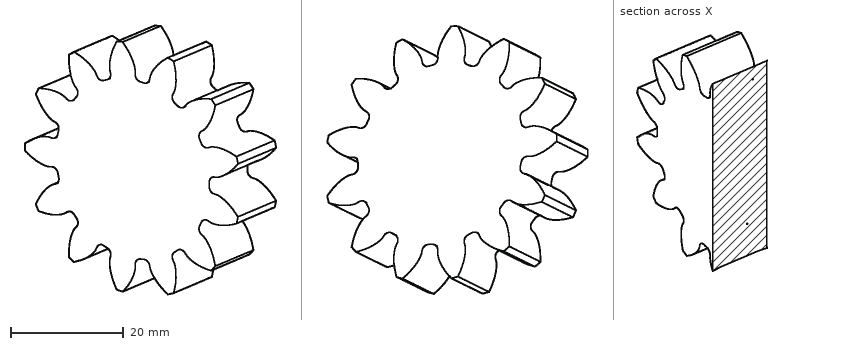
import cadquery as cq
import math

TEETH = 13
FACE_WIDTH = 12.0
TIP_RADIUS = 23.4
ROOT_RADIUS = 16.65
PITCH_RADIUS = 19.5
PRESSURE_ANGLE = math.radians(20)
PROFILE_SHIFT = 0.3
ROOT_FILLET = 1.15
FIRST_TOOTH_ANGLE = math.pi
FLANK_STEPS = 6

MODULE = 2 * PITCH_RADIUS / TEETH
BASE_RADIUS = PITCH_RADIUS * math.cos(PRESSURE_ANGLE)
TOOTH_PITCH = 2 * math.pi / TEETH
PITCH_THICKNESS = MODULE * (math.pi / 2 + 2 * PROFILE_SHIFT * math.tan(PRESSURE_ANGLE))


def polar(radius, angle):
    return radius * math.cos(angle), radius * math.sin(angle)


def involute(pressure_angle):
    return math.tan(pressure_angle) - pressure_angle


def half_tooth_angle(radius):
    """Angle between the tooth centreline and its involute flank at a radius."""
    flank_pressure_angle = math.acos(min(1, BASE_RADIUS / radius))
    pitch_half_angle = PITCH_THICKNESS / (2 * PITCH_RADIUS)
    return pitch_half_angle + involute(PRESSURE_ANGLE) - involute(flank_pressure_angle)


def flank_points(tooth_angle, side):
    """Involute points from base circle to tip; side is -1 or +1."""
    radii = [
        BASE_RADIUS + (TIP_RADIUS - BASE_RADIUS) * (step / FLANK_STEPS) ** 2
        for step in range(FLANK_STEPS + 1)
    ]
    return [polar(r, tooth_angle + side * half_tooth_angle(r)) for r in radii]


def gear_outline():
    root_half_angle = half_tooth_angle(BASE_RADIUS)
    outline = cq.Workplane("XZ").moveTo(*polar(ROOT_RADIUS, FIRST_TOOTH_ANGLE - root_half_angle))
    for tooth in range(TEETH):
        angle = FIRST_TOOTH_ANGLE + tooth * TOOTH_PITCH
        rising = flank_points(angle, -1)
        falling = flank_points(angle, 1)[::-1]
        outline = outline.lineTo(*rising[0]).spline(rising[1:], includeCurrent=True)
        outline = outline.threePointArc(polar(TIP_RADIUS, angle), falling[0])
        outline = outline.spline(falling[1:], includeCurrent=True)
        outline = outline.lineTo(*polar(ROOT_RADIUS, angle + root_half_angle))
        next_root = polar(ROOT_RADIUS, angle + TOOTH_PITCH - root_half_angle)
        outline = outline.threePointArc(polar(ROOT_RADIUS, angle + TOOTH_PITCH / 2), next_root)
    return outline.close()


def root_edges(gear):
    """The axial edges where tooth walls meet the root circle."""
    reach = (ROOT_RADIUS + BASE_RADIUS) / 2

    def is_near_root(edge):
        center = edge.Center()
        return math.hypot(center.x, center.z) < reach

    return gear.edges("|Y").filter(is_near_root)


gear = gear_outline().extrude(FACE_WIDTH)
result = root_edges(gear).fillet(ROOT_FILLET)